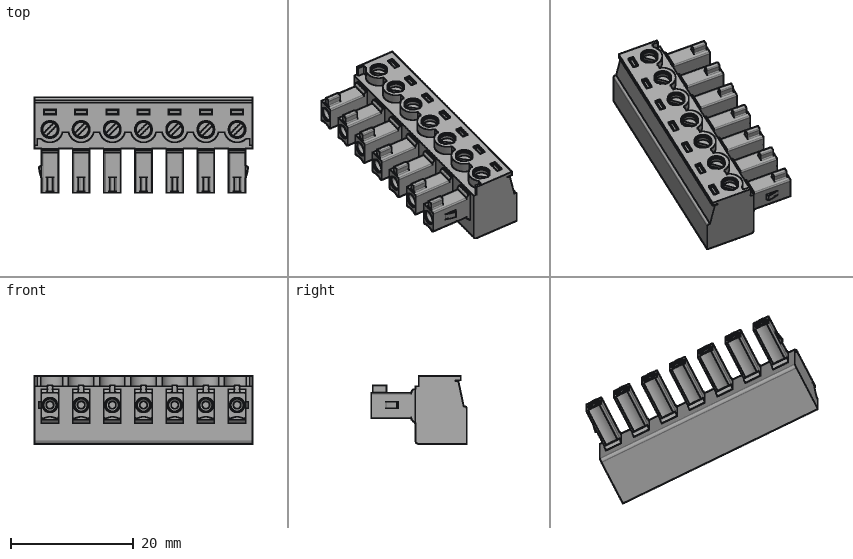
import cadquery as cq
import math


POLE_COUNT = 7
PITCH = 5.08
LENGTH = POLE_COUNT * PITCH

DEPTH = 8.4
HEIGHT = 11.1
BOTTOM_EDGE_RADIUS = 0.55
SHOULDER_HEIGHT = 6.15
SHOULDER_RADIUS = 0.4
SLOPE_BOTTOM_Y = DEPTH - 0.5
SLOPE_TOP_Y = DEPTH - 1.38
LIP_Y = DEPTH - 0.96
LIP_THICKNESS = 0.75
GROOVE_Y = DEPTH - 1.85
GROOVE_HEIGHT = 0.08

STEP_HEIGHT = 9.44
END_WALL_THICKNESS = 0.45
END_WALL_FRONT_Y = 0.54
END_RECESS_Y = 1.62
MIDDLE_RECESS_Y = 2.7

WELL_Y = 3.12
BOSS_RADIUS = 2.1
WELL_MOUTH_RADIUS = 1.41
WELL_MOUTH_DEPTH = 0.32
WELL_RADIUS = 1.22
WELL_TAPER_DEPTH = 0.12
SCREW_HEAD_DEPTH = 1.1
DRIVER_SLOT_WIDTH = 0.63
DRIVER_SLOT_DEPTH = 0.6
DRIVER_SLOT_ANGLE = 45

POCKET_Y = 6.0
POCKET_LENGTH = 2.04
POCKET_WIDTH = 0.88
POCKET_DEPTH = 0.2
POCKET_LEDGE = 0.1
POCKET_REAR_LEDGE = 0.18
POCKET_FLOOR_DEPTH = 0.6
POCKET_FLOOR_ANGLE = 20

PLUG_LENGTH = 7.2
PLUG_WIDTH = 2.8
PLUG_BOTTOM = 4.17
PLUG_TOP = 8.38
PLUG_EDGE_RADIUS = 0.22
CHANNEL_WIDTH = 2.05
CHANNEL_DEPTH = 0.25
COLLAR_LENGTH = 0.64
COLLAR_TOP = 8.94
COLLAR_TOP_RADIUS = 0.62
COLLAR_FLAT = 0.26
COLLAR_BOTTOM = 3.4
COLLAR_CHAMFER = 0.58

CONTACT_Z = 6.35
CONTACT_MOUTH_RADIUS = 1.21
CONTACT_BORE_RADIUS = 1.02
CONTACT_END_RADIUS = 0.6
CONTACT_MOUTH_DEPTH = 0.2
CONTACT_BORE_DEPTH = 1.0
CONTACT_CONE_DEPTH = 0.33

KEY_FRONT_GAP = 0.24
KEY_LENGTH = 2.3
KEY_WIDTH = 0.86
KEY_TOP = 9.58
KEY_RADIUS = 0.18

LATCH_START_Y = -2.75
LATCH_PEAK_Y = -3.0
LATCH_END_Y = -4.84
LATCH_PEAK = 0.43
LATCH_MIDDLE = 0.27
LATCH_HEIGHT = 1.1
LATCH_EMBED = 0.2

DIAGONAL = math.sqrt(0.5)
POLE_X = [(i - (POLE_COUNT - 1) / 2) * PITCH for i in range(POLE_COUNT)]


def box(x_min, x_max, y_min, y_max, z_min, z_max):
    """Axis-aligned block between the given limits."""
    size = (x_max - x_min, y_max - y_min, z_max - z_min)
    return cq.Workplane("XY").box(*size, centered=False).translate((x_min, y_min, z_min))


def cylinder(x, y, radius, z_min, z_max):
    """Upright cylinder between two heights."""
    return cq.Workplane("XY", origin=(x, y, z_min)).circle(radius).extrude(z_max - z_min)


def make_housing():
    """Full-length housing extruded from its cross-section."""
    lip_bottom = HEIGHT - LIP_THICKNESS
    groove_bottom = lip_bottom - GROOVE_HEIGHT
    shoulder_start = SHOULDER_HEIGHT - SHOULDER_RADIUS
    shoulder_middle = (
        DEPTH - SHOULDER_RADIUS * (1 - DIAGONAL),
        shoulder_start + SHOULDER_RADIUS * DIAGONAL,
    )
    edge_middle = BOTTOM_EDGE_RADIUS * (1 - DIAGONAL)
    return (
        cq.Workplane("YZ", origin=(-LENGTH / 2, 0, 0))
        .moveTo(BOTTOM_EDGE_RADIUS, 0)
        .lineTo(DEPTH, 0)
        .lineTo(DEPTH, shoulder_start)
        .threePointArc(shoulder_middle, (DEPTH - SHOULDER_RADIUS, SHOULDER_HEIGHT))
        .lineTo(SLOPE_BOTTOM_Y, SHOULDER_HEIGHT)
        .lineTo(SLOPE_TOP_Y, groove_bottom)
        .lineTo(GROOVE_Y, groove_bottom)
        .lineTo(GROOVE_Y, lip_bottom)
        .lineTo(LIP_Y, lip_bottom)
        .lineTo(LIP_Y, HEIGHT)
        .lineTo(0, HEIGHT)
        .lineTo(0, BOTTOM_EDGE_RADIUS)
        .threePointArc((edge_middle, edge_middle), (BOTTOM_EDGE_RADIUS, 0))
        .close()
        .extrude(LENGTH)
    )


def make_step():
    """Material removed in front of the screw bosses, leaving bosses and end walls."""
    wall_x = LENGTH / 2 - END_WALL_THICKNESS
    step = box(-LENGTH / 2, LENGTH / 2, 0, END_WALL_FRONT_Y, STEP_HEIGHT, HEIGHT)
    step = step.union(box(-wall_x, wall_x, 0, END_RECESS_Y, STEP_HEIGHT, HEIGHT))
    step = step.union(box(POLE_X[0], POLE_X[-1], 0, MIDDLE_RECESS_Y, STEP_HEIGHT, HEIGHT))
    for x in POLE_X:
        step = step.cut(cylinder(x, WELL_Y, BOSS_RADIUS, STEP_HEIGHT, HEIGHT))
    return step


def make_well(x):
    """Countersunk screw well with the driver slot of the screw at its floor."""
    mouth_z = HEIGHT - WELL_MOUTH_DEPTH
    head_z = HEIGHT - SCREW_HEAD_DEPTH
    well = (
        cq.Workplane("XZ")
        .moveTo(0, head_z)
        .lineTo(WELL_RADIUS, head_z)
        .lineTo(WELL_RADIUS, mouth_z - WELL_TAPER_DEPTH)
        .lineTo(WELL_MOUTH_RADIUS, mouth_z)
        .lineTo(WELL_MOUTH_RADIUS, HEIGHT)
        .lineTo(0, HEIGHT)
        .close()
        .revolve(360, (0, 0), (0, 1))
    )
    slot_bottom = head_z - DRIVER_SLOT_DEPTH
    half_slot = DRIVER_SLOT_WIDTH / 2
    slot = (
        box(-WELL_RADIUS, WELL_RADIUS, -half_slot, half_slot, slot_bottom, head_z)
        .rotate((0, 0, 0), (0, 0, 1), DRIVER_SLOT_ANGLE)
        .intersect(cylinder(0, 0, WELL_RADIUS, slot_bottom, head_z))
    )
    return well.union(slot).translate((x, WELL_Y, 0))


def make_pocket(x):
    """Rectangular pocket with a ledge and a floor that rises toward the rear."""
    front = POCKET_Y - POCKET_WIDTH / 2
    rear = POCKET_Y + POCKET_WIDTH / 2
    half = POCKET_LENGTH / 2
    inner_front = front + POCKET_LEDGE
    inner_rear = rear - POCKET_REAR_LEDGE
    floor_front = HEIGHT - POCKET_FLOOR_DEPTH
    floor_rise = (inner_rear - inner_front) * math.tan(math.radians(POCKET_FLOOR_ANGLE))
    inner = (
        cq.Workplane("YZ", origin=(x - half + POCKET_LEDGE, 0, 0))
        .moveTo(inner_front, HEIGHT)
        .lineTo(inner_front, floor_front)
        .lineTo(inner_rear, floor_front + floor_rise)
        .lineTo(inner_rear, HEIGHT)
        .close()
        .extrude(POCKET_LENGTH - 2 * POCKET_LEDGE)
    )
    return inner.union(box(x - half, x + half, front, rear, HEIGHT - POCKET_DEPTH, HEIGHT))


def make_collar():
    """Thickened root of a plug: rounded above, chamfered below."""
    arc_y = -COLLAR_LENGTH + COLLAR_TOP_RADIUS
    start_angle = math.acos((arc_y + COLLAR_FLAT) / COLLAR_TOP_RADIUS)
    arc_z = COLLAR_TOP - COLLAR_TOP_RADIUS * math.sin(start_angle)
    middle_angle = start_angle / 2
    arc_middle = (
        arc_y - COLLAR_TOP_RADIUS * math.cos(middle_angle),
        arc_z + COLLAR_TOP_RADIUS * math.sin(middle_angle),
    )
    return (
        cq.Workplane("YZ", origin=(-PLUG_WIDTH / 2, 0, 0))
        .moveTo(0, COLLAR_TOP)
        .lineTo(-COLLAR_FLAT, COLLAR_TOP)
        .threePointArc(arc_middle, (-COLLAR_LENGTH, arc_z))
        .lineTo(-COLLAR_LENGTH, COLLAR_BOTTOM + COLLAR_CHAMFER)
        .lineTo(COLLAR_CHAMFER - COLLAR_LENGTH, COLLAR_BOTTOM)
        .lineTo(0, COLLAR_BOTTOM)
        .close()
        .extrude(PLUG_WIDTH)
    )


def make_key():
    """Coding key on the plug: rounded along its top, flared into the plug at its foot."""
    half = KEY_WIDTH / 2
    foot = half + KEY_RADIUS
    waist_z = PLUG_TOP + KEY_RADIUS
    shoulder_z = KEY_TOP - KEY_RADIUS
    bend = KEY_RADIUS * DIAGONAL
    return (
        cq.Workplane("XZ", origin=(0, KEY_LENGTH + KEY_FRONT_GAP - PLUG_LENGTH, 0))
        .moveTo(-foot, PLUG_TOP)
        .threePointArc((-foot + bend, waist_z - bend), (-half, waist_z))
        .lineTo(-half, shoulder_z)
        .threePointArc((-half + KEY_RADIUS - bend, shoulder_z + bend), (-half + KEY_RADIUS, KEY_TOP))
        .lineTo(half - KEY_RADIUS, KEY_TOP)
        .threePointArc((half - KEY_RADIUS + bend, shoulder_z + bend), (half, shoulder_z))
        .lineTo(half, waist_z)
        .threePointArc((foot - bend, waist_z - bend), (foot, PLUG_TOP))
        .close()
        .extrude(KEY_LENGTH)
    )


def make_contact_opening():
    """Blind contact bore with a chamfered mouth and a conical end."""
    front = -PLUG_LENGTH
    bore_y = front + CONTACT_MOUTH_DEPTH
    cone_y = front + CONTACT_BORE_DEPTH
    end_y = cone_y + CONTACT_CONE_DEPTH
    return (
        cq.Workplane("YZ")
        .moveTo(front, 0)
        .lineTo(front, -CONTACT_MOUTH_RADIUS)
        .lineTo(bore_y, -CONTACT_BORE_RADIUS)
        .lineTo(cone_y, -CONTACT_BORE_RADIUS)
        .lineTo(end_y, -CONTACT_END_RADIUS)
        .lineTo(end_y, 0)
        .close()
        .revolve(360, (0, 0), (1, 0))
        .translate((0, 0, CONTACT_Z))
    )


def make_plug():
    """One contact plug centred on X = 0."""
    half = PLUG_WIDTH / 2
    bar = box(-half, half, -PLUG_LENGTH, 0, PLUG_BOTTOM, PLUG_TOP).edges("|Y").fillet(PLUG_EDGE_RADIUS)
    channel = (
        cq.Workplane("XZ")
        .moveTo(-CHANNEL_WIDTH / 2, PLUG_BOTTOM)
        .threePointArc((0, PLUG_BOTTOM + CHANNEL_DEPTH), (CHANNEL_WIDTH / 2, PLUG_BOTTOM))
        .close()
        .extrude(PLUG_LENGTH)
    )
    plug = bar.cut(channel).union(make_collar()).union(make_key())
    return plug.cut(make_contact_opening())


def make_latch():
    """Side latch on the -X end: steep rear flank and a curved ramp toward the front."""
    side_x = POLE_X[0] - PLUG_WIDTH / 2
    root_x = side_x + LATCH_EMBED
    ramp_middle = (side_x - LATCH_MIDDLE, (LATCH_PEAK_Y + LATCH_END_Y) / 2)
    return (
        cq.Workplane("XY", origin=(0, 0, CONTACT_Z - LATCH_HEIGHT / 2))
        .moveTo(root_x, LATCH_START_Y)
        .lineTo(side_x, LATCH_START_Y)
        .lineTo(side_x - LATCH_PEAK, LATCH_PEAK_Y)
        .threePointArc(ramp_middle, (side_x, LATCH_END_Y))
        .lineTo(root_x, LATCH_END_Y)
        .close()
        .extrude(LATCH_HEIGHT)
    )


housing = make_housing().cut(make_step())
plug = make_plug()
for pole_x in POLE_X:
    housing = housing.cut(make_well(pole_x)).cut(make_pocket(pole_x))
    housing = housing.union(plug.translate((pole_x, 0, 0)))

latch = make_latch()
result = housing.union(latch).union(latch.mirror("YZ"))